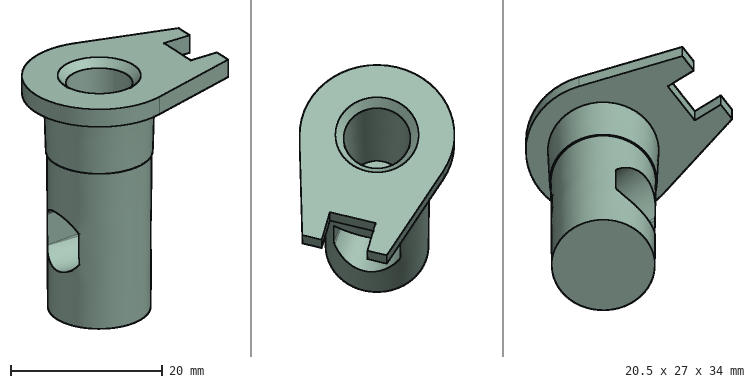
import cadquery as cq
import math

total_height = 34.0
plate_thickness = 2.6
plate_width = 20.5
plate_length = 27.0
end_half_width = 5.78
notch_width = 6.25
notch_depth = 4.18

step_height = 22.95
collar_top_radius = 7.35
collar_bottom_radius = 7.1
shank_top_radius = 6.95
shank_bottom_radius = 6.85

mouth_radius = 5.5
mouth_chamfer = 1.1
bore_floor_radius = 3.65
bore_depth = 15.65

cross_hole_height = 11.45
cross_hole_radius = 4.2
cross_hole_half_width = 3.57
cross_hole_draft = 4.5

plate_radius = plate_width / 2
plate_reach = plate_length - plate_radius
plate_bottom = total_height - plate_thickness


def make_plate():
    """Plate outline: a round head, sides tangent to it, and a flat end."""
    corner_distance = math.hypot(end_half_width, plate_reach)
    corner_angle = math.atan2(plate_reach, end_half_width)
    tangent_angle = corner_angle - math.acos(plate_radius / corner_distance)
    tangent_x = plate_radius * math.cos(tangent_angle)
    tangent_y = plate_radius * math.sin(tangent_angle)
    plate = (
        cq.Workplane("XY", origin=(0, 0, plate_bottom))
        .moveTo(end_half_width, plate_reach)
        .lineTo(tangent_x, tangent_y)
        .threePointArc((0, -plate_radius), (-tangent_x, tangent_y))
        .lineTo(-end_half_width, plate_reach)
        .close()
        .extrude(plate_thickness)
    )
    notch = (
        cq.Workplane("XY", origin=(0, plate_reach - notch_depth / 2, plate_bottom))
        .rect(notch_width, notch_depth)
        .extrude(plate_thickness)
    )
    return plate.cut(notch)


def turn(profile):
    """Revolve (radius, height) points about the shank axis."""
    return cq.Workplane("XZ").polyline(profile).close().revolve(360, (0, 0), (0, 1))


def make_shank():
    return turn([
        (0, 0),
        (shank_bottom_radius, 0),
        (shank_top_radius, step_height),
        (collar_bottom_radius, step_height),
        (collar_top_radius, plate_bottom),
        (0, plate_bottom),
    ])


def make_bore():
    floor_height = total_height - bore_depth
    return turn([
        (0, floor_height),
        (bore_floor_radius, floor_height),
        (mouth_radius - mouth_chamfer, total_height - mouth_chamfer),
        (mouth_radius, total_height),
        (0, total_height),
    ])


def make_cross_hole():
    """Drafted cutter running along +Y from clear of the -Y side of the shank."""
    flat_half_height = math.sqrt(cross_hole_radius**2 - cross_hole_half_width**2)
    length = 2 * collar_top_radius
    start = cq.Workplane("XZ", origin=(0, -collar_top_radius, cross_hole_height))
    return (
        start.moveTo(cross_hole_half_width, -flat_half_height)
        .lineTo(cross_hole_half_width, flat_half_height)
        .threePointArc((0, cross_hole_radius), (-cross_hole_half_width, flat_half_height))
        .lineTo(-cross_hole_half_width, -flat_half_height)
        .threePointArc((0, -cross_hole_radius), (cross_hole_half_width, -flat_half_height))
        .close()
        .extrude(-length, taper=-cross_hole_draft)
    )


result = make_plate().union(make_shank()).cut(make_bore()).cut(make_cross_hole())